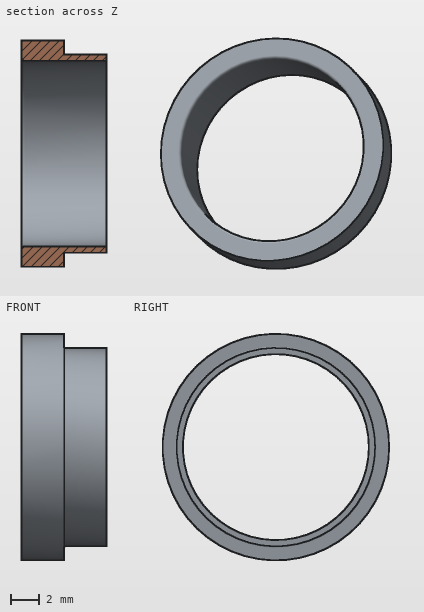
import cadquery as cq

flange_diameter = 16.0
spigot_diameter = 14.0
bore_diameter = 13.1
total_length = 6.0
flange_length = 3.0
bore_entry_radius = 0.2
shoulder_fillet_radius = 0.1


def cylinder_along_x(diameter, length):
    """Solid cylinder on the X axis, starting at X = 0."""
    return cq.Workplane("YZ").circle(diameter / 2).extrude(length)


def stepped_body():
    """Flange and spigot, with a small fillet in the corner between them."""
    flange = cylinder_along_x(flange_diameter, flange_length)
    spigot = cylinder_along_x(spigot_diameter, total_length)
    corner = cq.selectors.RadiusNthSelector(0)
    return (
        flange.union(spigot)
        .faces(cq.selectors.NearestToPointSelector((flange_length, 0, 0)))
        .edges(corner)
        .fillet(shoulder_fillet_radius)
    )


def cut_bore(body):
    """Through bore, rounded where it enters the flange face."""
    bored = body.cut(cylinder_along_x(bore_diameter, total_length))
    bore_entry = cq.selectors.RadiusNthSelector(0)
    return bored.faces("<X").edges(bore_entry).fillet(bore_entry_radius)


result = cut_bore(stepped_body())